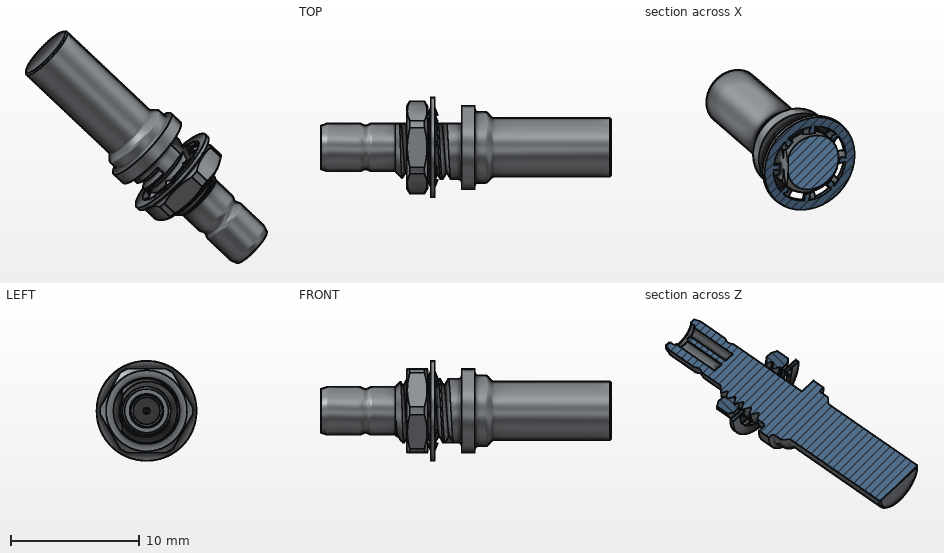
import cadquery as cq
import math


length = 22.6
mating_radius = 1.875
mating_chamfer_length = 0.5
mating_face_radius = 1.7
mating_chamfer_fillet = 0.2

groove_center = 3.48
groove_half_width = 0.42
groove_depth = 0.21
groove_edge_fillet = 0.3
groove_floor_fillet = 0.35

thread_start = 5.8
thread_major_radius = 2.5
thread_root_radius = 1.93
thread_pitch = 0.8
thread_half_angle = math.radians(30)
thread_end = 10.0
thread_turns = 6
cutter_clearance = 0.06

flange_start = 10.95
flange_thickness = 1.05
flange_end = flange_start + flange_thickness
flange_radius = 3.26
flange_root_fillet = 0.2

shoulder_radius = 2.775
sleeve_radius = 2.3
cone_end = 13.36
cone_start = cone_end - (shoulder_radius - sleeve_radius)
shoulder_fillet = 0.25
cone_root_fillet = 0.1
sleeve_end_chamfer = 0.13

flat_offset = mating_radius

socket_mouth_radius = 1.32
socket_entry_radius = 1.22
socket_entry_depth = 0.45
socket_radius = 1.05
socket_chamfer = 0.1
socket_depth = 4.5
pin_radius = 0.25
pin_tip_radius = 0.11
pin_tip_x = 0.85
pin_taper_length = 0.25

nut_start = 6.67
nut_thickness = 1.66
nut_across_flats = 6.52
nut_corner_radius = 3.6
nut_face_radius = 3.15
nut_chamfer_angle = math.radians(30)
nut_minor_radius = 2.06
nut_countersink_radius = 2.58

washer_center = 8.715
washer_thickness = 0.32
washer_outer_radius = 3.9
washer_inner_radius = 3.1
tooth_count = 8
tooth_width = 0.97
tooth_tip_thickness = washer_thickness
tooth_root_thickness = 0.28
tooth_root_radius = 3.15
tooth_tip_radius = thread_major_radius + 0.02
tooth_twist = 30


def revolve_about_x(points):
    """Revolve an outline of (x, radius) points about the X axis."""
    return cq.Workplane("XZ").polyline(points).close().revolve(360, (0, 0, 0), (1, 0, 0))


def fillet_ring(body, x, radius, fillet):
    """Round the circular edge of the given radius at station x."""
    tolerance = 1e-4

    def is_ring(edge):
        return (
            edge.geomType() == "CIRCLE"
            and abs(edge.Center().x - x) < tolerance
            and abs(edge.radius() - radius) < tolerance
        )

    edges = [edge for edge in body.edges().vals() if is_ring(edge)]
    return body.newObject(edges).fillet(fillet)


def make_barrel_blank():
    """Outside of the barrel, before the thread, flat and socket are cut."""
    groove_start = groove_center - groove_half_width
    groove_end = groove_center + groove_half_width
    groove_floor = mating_radius - groove_depth
    blank = revolve_about_x([
        (0, 0),
        (0, mating_face_radius),
        (mating_chamfer_length, mating_radius),
        (groove_start, mating_radius),
        (groove_center, groove_floor),
        (groove_end, mating_radius),
        (thread_start, mating_radius),
        (thread_start + thread_major_radius - mating_radius, thread_major_radius),
        (flange_start, thread_major_radius),
        (flange_start, flange_radius),
        (flange_end, flange_radius),
        (flange_end, shoulder_radius),
        (cone_start, shoulder_radius),
        (cone_end, sleeve_radius),
        (length - sleeve_end_chamfer, sleeve_radius),
        (length, sleeve_radius - sleeve_end_chamfer),
        (length, 0),
    ])
    rounded_rings = [
        (mating_chamfer_length, mating_radius, mating_chamfer_fillet),
        (groove_start, mating_radius, groove_edge_fillet),
        (groove_center, groove_floor, groove_floor_fillet),
        (groove_end, mating_radius, groove_edge_fillet),
        (flange_start, thread_major_radius, flange_root_fillet),
        (flange_end, shoulder_radius, flange_root_fillet),
        (cone_start, shoulder_radius, shoulder_fillet),
        (cone_end, sleeve_radius, cone_root_fillet),
    ]
    for x, radius, fillet in rounded_rings:
        blank = fillet_ring(blank, x, radius, fillet)
    return blank


def make_thread_groove():
    """Right-handed V groove, swept along Z and then laid along X; it stops at the -Z side."""
    groove_length = thread_turns * thread_pitch
    outer_radius = thread_major_radius + cutter_clearance
    half_width = (outer_radius - thread_root_radius) * math.tan(thread_half_angle)
    helix = cq.Wire.makeHelix(thread_pitch, groove_length, thread_root_radius)
    groove = (
        cq.Workplane("XZ")
        .polyline([
            (thread_root_radius, 0),
            (outer_radius, half_width),
            (outer_radius, -half_width),
        ])
        .close()
        .sweep(cq.Workplane(obj=helix), isFrenet=True)
    )
    laid_along_x = groove.rotate((0, 0, 0), (0, 1, 0), 90)
    return laid_along_x.translate((thread_end - groove_length, 0, 0))


def make_socket():
    """Stepped bore in the mating end, with the center pin left standing in it."""
    mouth_depth = socket_mouth_radius - socket_entry_radius
    bore = revolve_about_x([
        (0, 0),
        (0, socket_mouth_radius),
        (mouth_depth, socket_entry_radius),
        (socket_entry_depth, socket_entry_radius),
        (socket_entry_depth + socket_chamfer, socket_radius),
        (socket_depth, socket_radius),
        (socket_depth, 0),
    ])
    pin = revolve_about_x([
        (pin_tip_x, 0),
        (pin_tip_x, pin_tip_radius),
        (pin_tip_x + pin_taper_length, pin_radius),
        (socket_depth, pin_radius),
        (socket_depth, 0),
    ])
    return bore.cut(pin)


def make_flat_cutter():
    """Block above the flat on the +Y side, running from the thread start to the flange."""
    return cq.Workplane("XY").box(
        flange_start - thread_start, flange_radius, 2 * flange_radius, centered=(False, False, True)
    ).translate((thread_start, flat_offset, 0))


def make_nut(threaded_barrel):
    """Hex nut with flats facing +Z and -Z, its thread formed by the barrel that fills it."""
    nut_end = nut_start + nut_thickness
    across_corners = nut_across_flats / math.cos(math.radians(30))
    hexagon = (
        cq.Workplane("YZ", origin=(nut_start, 0, 0))
        .polygon(6, across_corners)
        .extrude(nut_thickness)
    )
    chamfer_length = (nut_corner_radius - nut_face_radius) * math.tan(nut_chamfer_angle)
    turned_outline = revolve_about_x([
        (nut_start, 0),
        (nut_start, nut_face_radius),
        (nut_start + chamfer_length, nut_corner_radius),
        (nut_end - chamfer_length, nut_corner_radius),
        (nut_end, nut_face_radius),
        (nut_end, 0),
    ])
    countersink_depth = nut_countersink_radius - nut_minor_radius
    bore = revolve_about_x([
        (nut_start, 0),
        (nut_start, nut_countersink_radius),
        (nut_start + countersink_depth, nut_minor_radius),
        (nut_end - countersink_depth, nut_minor_radius),
        (nut_end, nut_countersink_radius),
        (nut_end, 0),
    ])
    return hexagon.intersect(turned_outline).cut(bore).cut(threaded_barrel)


def make_washer_tooth():
    """Tooth on the -Y side of the ring, lofted from its twisted tip out to its straight root."""
    return (
        cq.Workplane("XZ", origin=(washer_center, 0, 0))
        .workplane(offset=tooth_tip_radius)
        .transformed(rotate=(0, 0, -tooth_twist))
        .rect(tooth_tip_thickness, tooth_width)
        .transformed(rotate=(0, 0, tooth_twist))
        .workplane(offset=tooth_root_radius - tooth_tip_radius)
        .rect(tooth_root_thickness, tooth_width)
        .loft(ruled=True)
    )


def make_washer():
    """Flat ring with twisted teeth around its inside."""
    washer = (
        cq.Workplane("YZ", origin=(washer_center - washer_thickness / 2, 0, 0))
        .circle(washer_outer_radius)
        .circle(washer_inner_radius)
        .extrude(washer_thickness)
    )
    tooth = make_washer_tooth()
    for index in range(tooth_count):
        washer = washer.union(tooth.rotate((0, 0, 0), (1, 0, 0), index * 360 / tooth_count))
    return washer


threaded_barrel = make_barrel_blank().cut(make_thread_groove())
barrel = threaded_barrel.cut(make_flat_cutter()).cut(make_socket())
nut = make_nut(threaded_barrel)
washer = make_washer()

result = cq.Compound.makeCompound([barrel.solids().val(), nut.solids().val(), washer.solids().val()])